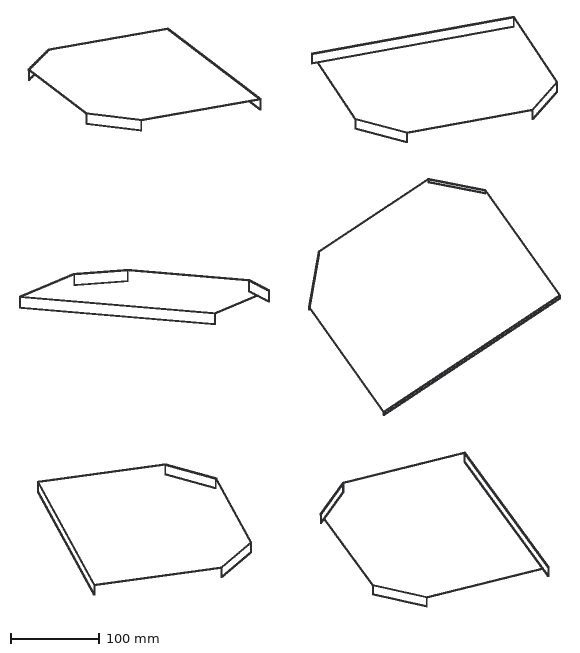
import cadquery as cq
import math

width = 241.7
depth = 197.2
height = 13.0
sheet = 0.7

corner_run = 46.0
corner_rise = 47.4

half_width = width / 2
back_y = depth / 2
tip_y = -depth / 2
tip_x = half_width - corner_run
shoulder_y = tip_y + corner_rise

slope_length = math.hypot(corner_run, corner_rise)
inward_x = sheet * corner_rise / slope_length
inward_y = sheet * corner_run / slope_length
front_x = tip_x - inward_x
front_y = tip_y + inward_y

flange_end_x = tip_x + inward_y * corner_run / corner_rise
flange_end_y = front_y


def make_top():
    """Flat top sheet with two sloping front corners."""
    outline = [
        (-half_width, back_y),
        (half_width, back_y),
        (half_width, shoulder_y),
        (tip_x, tip_y),
        (front_x, front_y),
        (-front_x, front_y),
        (-tip_x, tip_y),
        (-half_width, shoulder_y),
    ]
    return cq.Workplane("XY").workplane(offset=height - sheet).polyline(outline).close().extrude(sheet)


def make_back_flange():
    """Full-width flange folded down along the back edge."""
    return (
        cq.Workplane("XY")
        .center(0, back_y - sheet / 2)
        .rect(width, sheet)
        .extrude(height)
    )


def make_corner_flange(side):
    """Flange folded down along a sloping corner; side is -1 or 1 along X."""
    outline = [
        (side * half_width, shoulder_y),
        (side * flange_end_x, flange_end_y),
        (side * (flange_end_x - inward_x), flange_end_y + inward_y),
        (side * (half_width - inward_x), shoulder_y + inward_y),
    ]
    return cq.Workplane("XY").polyline(outline).close().extrude(height)


result = make_top().union(make_back_flange())
for side in (-1, 1):
    result = result.union(make_corner_flange(side))